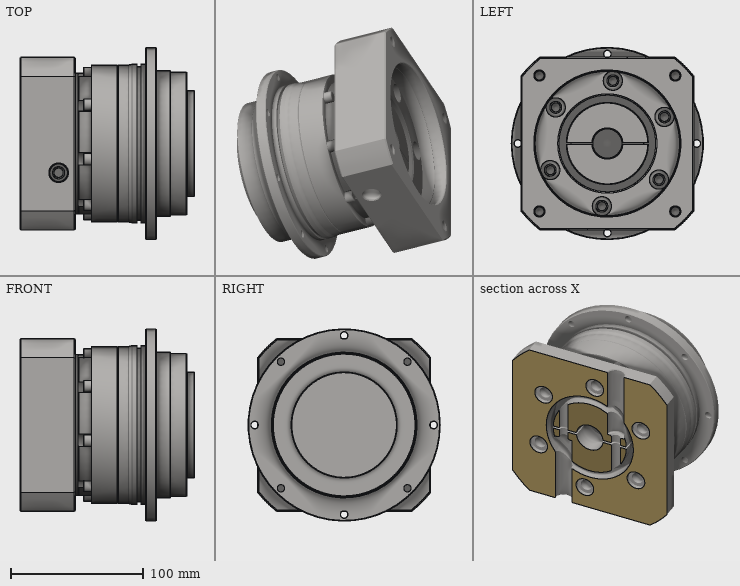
import cadquery as cq
import math


EDGE = 0.5
ADAPTER_END_X = 44.0

PLATE_SIDE = 130.5
PLATE_CORNER_DIA = 165.4
PLATE_END_X = 42.0
PLATE_EDGE = 1.0
ADAPTER_BOSS_RADIUS = 53.25
PILOT_RADIUS = 55.0
PILOT_DEPTH = 9.5
RECESS_RADIUS = 54.5
RECESS_DEPTH = 19.2
HUB_CHAMBER_RADIUS = 36.5
HUB_CHAMBER_EDGE = 1.0
MOTOR_BOLT_CIRCLE_DIA = 145.0
MOTOR_BOLT_COUNT = 4
MOTOR_BOLT_FIRST_ANGLE = 45.0
MOTOR_THREAD_DEPTH = 20.0
THREAD_RADIUS = 3.4
THREAD_EDGE = 0.8
DRILL_TIP_ANGLE = 118.0

JOIN_BOLT_COUNT = 6
JOIN_BOLT_CIRCLE_RADIUS = 47.5
JOIN_BOLT_FIRST_ANGLE = 35.0
JOIN_CLEARANCE_RADIUS = 4.5
JOIN_HEAD_RADIUS = 7.25
JOIN_HEAD_DEPTH = 13.0
JOIN_THREAD_DEPTH = 14.0

HUB_RADIUS = 31.0
HUB_START_X = 20.3
HUB_LENGTH = 18.0
HUB_NECK_RADIUS = 27.5
HUB_NECK_DEPTH = 10.0
HUB_BORE_RADIUS = 11.0
HUB_BORE_EDGE = 0.75
HUB_BORE_END_X = 50.0
HUB_SLOT_WIDTH = 1.5
HUB_SLOT_END_X = 42.0
CLAMP_SCREW_X = HUB_START_X + HUB_LENGTH / 2
CLAMP_SCREW_Y = -22.0
CLAMP_SEAT_Z = 8.0
CLAMP_SEAT_RADIUS = 7.0
CLAMP_HOLE_RADIUS = 3.5
CLAMP_HOLE_EDGE = 1.1
ACCESS_HOLE_RADIUS = 6.7
ACCESS_HOLE_EDGE = 0.7

INPUT_FLANGE_RADIUS = 53.25
RING_START_X = 54.0
RING_RADIUS = 59.25
RING_JOINT_X = 73.8
TAPER_START_X = 82.0
SEAT_START_X = 84.8
SEAT_RADIUS = 60.0
SEAL_GROOVE_START_X = 88.6
SEAL_GROOVE_END_X = 91.3
SEAL_GROOVE_RADIUS = 58.0
FLANGE_START_X = 95.0
FLANGE_END_X = 103.0
FLANGE_RADIUS = 72.5
OUTPUT_STEP_X = 113.8
OUTPUT_BASE_RADIUS = 55.0
OUTPUT_BODY_RADIUS = 54.0
OUTPUT_END_X = 126.0
DISC_END_X = 132.0
DISC_RADIUS = 40.0
FLANGE_HOLE_COUNT = 8
FLANGE_HOLE_CIRCLE_RADIUS = 67.5
FLANGE_HOLE_RADIUS = 2.75
RING_SCREW_COUNT = 8
RING_SCREW_CIRCLE_RADIUS = 54.6
RING_SCREW_FIRST_ANGLE = 12.5
RING_SCREW_HEAD_RADIUS = 4.25
RING_SCREW_HEAD_HEIGHT = 6.0
RING_SCREW_NOTCH_RADIUS = 5.0


def cylinder_x(start_x, end_x, radius, y=0.0, z=0.0):
    """Cylinder parallel to the X axis."""
    plane = cq.Plane(origin=(start_x, y, z), xDir=(0, 1, 0), normal=(1, 0, 0))
    return cq.Workplane(plane).circle(radius).extrude(end_x - start_x)


def turned(profile):
    """Solid of revolution about X from (x, radius) points."""
    return cq.Workplane("XY").polyline(profile).close().revolve(360, (0, 0, 0), (1, 0, 0))


def turned_z(x, y, profile):
    """Solid of revolution about a vertical axis at (x, y), from (radius, z) points."""
    outline = cq.Workplane("XZ", origin=(x, y, 0)).polyline(profile).close()
    return outline.revolve(360, (0, 0, 0), (0, 1, 0))


def half_turn(shape):
    """The shape turned half round the X axis."""
    return shape.rotate((0, 0, 0), (1, 0, 0), 180)


def circle_places(count, radius, first_angle):
    """(y, z) places evenly spaced on a circle round the X axis."""
    angles = [math.radians(first_angle + 360.0 * i / count) for i in range(count)]
    return [(radius * math.cos(a), radius * math.sin(a)) for a in angles]


def tapped_hole(face_x, depth, edge, y, z):
    """Blind drilled hole along +X with a pointed bottom and an optional edge chamfer."""
    tip = THREAD_RADIUS / math.tan(math.radians(DRILL_TIP_ANGLE / 2))
    mouth = [(face_x, 0), (face_x, THREAD_RADIUS + edge)]
    if edge > 0:
        mouth.append((face_x + edge, THREAD_RADIUS))
    bottom = [(face_x + depth, THREAD_RADIUS), (face_x + depth + tip, 0)]
    return turned(mouth + bottom).translate((0, y, z))


JOIN_BOLT_PLACES = circle_places(JOIN_BOLT_COUNT, JOIN_BOLT_CIRCLE_RADIUS, JOIN_BOLT_FIRST_ANGLE)


def adapter_blank():
    """Square plate with turned corners and a round boss on the gearbox side."""
    square = cq.Workplane("YZ").rect(PLATE_SIDE, PLATE_SIDE).extrude(PLATE_END_X)
    corners = cylinder_x(0, PLATE_END_X, PLATE_CORNER_DIA / 2)
    plate = square.intersect(corners).faces("<X or >X").chamfer(PLATE_EDGE)
    return plate.union(cylinder_x(PLATE_END_X, ADAPTER_END_X, ADAPTER_BOSS_RADIUS))


def adapter_cavity():
    """Motor pilot, bolt recess and hub chamber as one turned cavity."""
    return turned([
        (0, 0),
        (0, PILOT_RADIUS + EDGE),
        (EDGE, PILOT_RADIUS),
        (PILOT_DEPTH, PILOT_RADIUS),
        (PILOT_DEPTH, RECESS_RADIUS),
        (RECESS_DEPTH, RECESS_RADIUS),
        (RECESS_DEPTH, HUB_CHAMBER_RADIUS + HUB_CHAMBER_EDGE),
        (RECESS_DEPTH + HUB_CHAMBER_EDGE, HUB_CHAMBER_RADIUS),
        (ADAPTER_END_X, HUB_CHAMBER_RADIUS),
        (ADAPTER_END_X, 0),
    ])


def access_hole():
    """Hole in the top side that reaches a clamp screw of the hub."""
    top = PLATE_SIDE / 2
    return turned_z(CLAMP_SCREW_X, CLAMP_SCREW_Y, [
        (0, 0),
        (ACCESS_HOLE_RADIUS, 0),
        (ACCESS_HOLE_RADIUS, top - ACCESS_HOLE_EDGE),
        (ACCESS_HOLE_RADIUS + ACCESS_HOLE_EDGE, top),
        (0, top),
    ])


def make_adapter():
    adapter = adapter_blank().cut(adapter_cavity())
    adapter = adapter.cut(access_hole()).cut(half_turn(access_hole()))
    motor_circle_radius = MOTOR_BOLT_CIRCLE_DIA / 2
    for y, z in circle_places(MOTOR_BOLT_COUNT, motor_circle_radius, MOTOR_BOLT_FIRST_ANGLE):
        adapter = adapter.cut(tapped_hole(0, MOTOR_THREAD_DEPTH, THREAD_EDGE, y, z))
    for y, z in JOIN_BOLT_PLACES:
        head_end = RECESS_DEPTH + JOIN_HEAD_DEPTH
        adapter = adapter.cut(cylinder_x(RECESS_DEPTH, head_end, JOIN_HEAD_RADIUS, y, z))
        adapter = adapter.cut(cylinder_x(head_end, ADAPTER_END_X, JOIN_CLEARANCE_RADIUS, y, z))
    return adapter


def make_clamp_hub():
    head_end = HUB_START_X + HUB_LENGTH
    neck_end = ADAPTER_END_X + HUB_NECK_DEPTH
    hub = turned([
        (HUB_START_X, HUB_BORE_RADIUS + HUB_BORE_EDGE),
        (HUB_START_X, HUB_RADIUS - EDGE),
        (HUB_START_X + EDGE, HUB_RADIUS),
        (head_end, HUB_RADIUS),
        (head_end, HUB_NECK_RADIUS),
        (neck_end, HUB_NECK_RADIUS),
        (neck_end, 0),
        (HUB_BORE_END_X, 0),
        (HUB_BORE_END_X, HUB_BORE_RADIUS),
        (HUB_START_X + HUB_BORE_EDGE, HUB_BORE_RADIUS),
    ])

    slot_length = HUB_SLOT_END_X - HUB_START_X
    slot = cq.Workplane("XY").box(slot_length, 2 * HUB_RADIUS, HUB_SLOT_WIDTH)
    hub = hub.cut(slot.translate((HUB_START_X + slot_length / 2, 0, 0)))

    screw_space = turned_z(CLAMP_SCREW_X, CLAMP_SCREW_Y, [
        (0, -HUB_RADIUS),
        (CLAMP_HOLE_RADIUS, -HUB_RADIUS),
        (CLAMP_HOLE_RADIUS, CLAMP_SEAT_Z - CLAMP_HOLE_EDGE),
        (CLAMP_HOLE_RADIUS + CLAMP_HOLE_EDGE, CLAMP_SEAT_Z),
        (CLAMP_SEAT_RADIUS, CLAMP_SEAT_Z),
        (CLAMP_SEAT_RADIUS, HUB_RADIUS),
        (0, HUB_RADIUS),
    ])
    return hub.cut(screw_space).cut(half_turn(screw_space))


def gearbox_blank():
    """Turned gearbox body from the input flange to the output disc, with the hub socket."""
    socket_end = ADAPTER_END_X + HUB_NECK_DEPTH
    return turned([
        (ADAPTER_END_X, HUB_NECK_RADIUS),
        (ADAPTER_END_X, INPUT_FLANGE_RADIUS - EDGE),
        (ADAPTER_END_X + EDGE, INPUT_FLANGE_RADIUS),
        (RING_START_X, INPUT_FLANGE_RADIUS),
        (RING_START_X, RING_RADIUS),
        (RING_JOINT_X - EDGE, RING_RADIUS),
        (RING_JOINT_X, RING_RADIUS - EDGE),
        (RING_JOINT_X + EDGE, RING_RADIUS),
        (TAPER_START_X, RING_RADIUS),
        (SEAT_START_X, SEAT_RADIUS),
        (SEAL_GROOVE_START_X, SEAT_RADIUS),
        (SEAL_GROOVE_START_X, SEAL_GROOVE_RADIUS),
        (SEAL_GROOVE_END_X, SEAL_GROOVE_RADIUS),
        (SEAL_GROOVE_END_X, SEAT_RADIUS),
        (FLANGE_START_X, SEAT_RADIUS),
        (FLANGE_START_X, FLANGE_RADIUS - EDGE),
        (FLANGE_START_X + EDGE, FLANGE_RADIUS),
        (FLANGE_END_X - EDGE, FLANGE_RADIUS),
        (FLANGE_END_X, FLANGE_RADIUS - EDGE),
        (FLANGE_END_X, OUTPUT_BASE_RADIUS),
        (OUTPUT_STEP_X - EDGE, OUTPUT_BASE_RADIUS),
        (OUTPUT_STEP_X, OUTPUT_BASE_RADIUS - EDGE),
        (OUTPUT_STEP_X, OUTPUT_BODY_RADIUS),
        (OUTPUT_END_X - EDGE, OUTPUT_BODY_RADIUS),
        (OUTPUT_END_X, OUTPUT_BODY_RADIUS - EDGE),
        (OUTPUT_END_X, DISC_RADIUS - EDGE),
        (OUTPUT_END_X + EDGE, DISC_RADIUS),
        (DISC_END_X - EDGE, DISC_RADIUS),
        (DISC_END_X, DISC_RADIUS - EDGE),
        (DISC_END_X, 0),
        (socket_end, 0),
        (socket_end, HUB_NECK_RADIUS),
    ])


def make_gearbox():
    gearbox = gearbox_blank()
    for y, z in JOIN_BOLT_PLACES:
        gearbox = gearbox.cut(tapped_hole(ADAPTER_END_X, JOIN_THREAD_DEPTH, 0, y, z))
    for y, z in circle_places(FLANGE_HOLE_COUNT, FLANGE_HOLE_CIRCLE_RADIUS, 0):
        gearbox = gearbox.cut(cylinder_x(FLANGE_START_X, FLANGE_END_X, FLANGE_HOLE_RADIUS, y, z))

    head_start = RING_START_X - RING_SCREW_HEAD_HEIGHT
    for y, z in circle_places(RING_SCREW_COUNT, RING_SCREW_CIRCLE_RADIUS, RING_SCREW_FIRST_ANGLE):
        notch = cylinder_x(ADAPTER_END_X, RING_START_X, RING_SCREW_NOTCH_RADIUS, y, z)
        head = cylinder_x(head_start, RING_START_X, RING_SCREW_HEAD_RADIUS, y, z)
        gearbox = gearbox.cut(notch).union(head.faces("<X").chamfer(EDGE))
    return gearbox


adapter = make_adapter()
clamp_hub = make_clamp_hub()
gearbox = make_gearbox()

result = cq.Compound.makeCompound([adapter.val(), clamp_hub.val(), gearbox.val()])